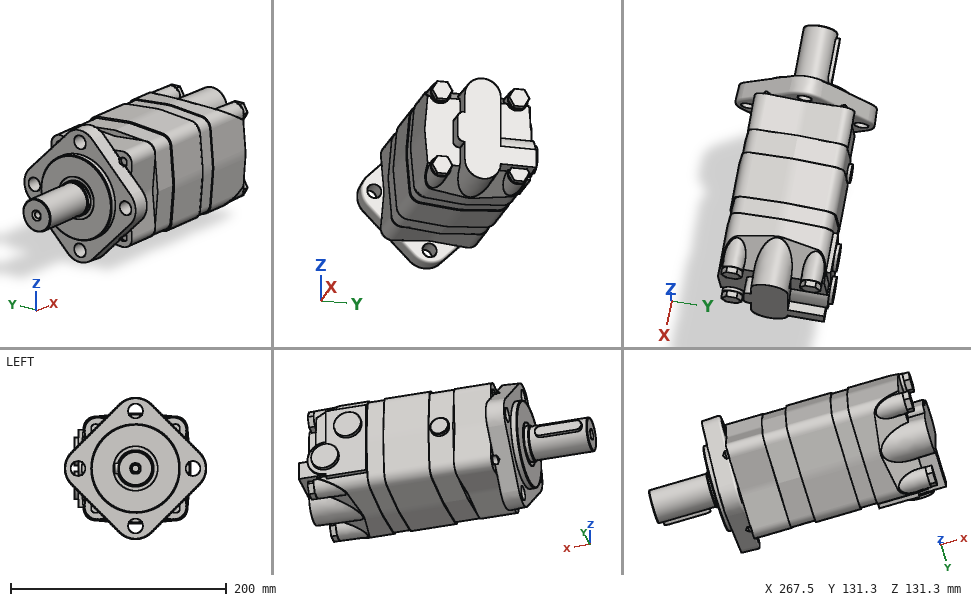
import cadquery as cq
import math


COLLAR_FRONT = 55.7
PILOT_FRONT = 60.1
FLANGE_FRONT = 66.1
FLANGE_WIDEST = 81.2
FLANGE_BACK = 83.8
LEGS_BACK = 119.4
HOUSING_BACK = 142.8
GEROTOR_BACK = 186.3
PLATE_BACK = 202.4
COVER_BACK = 251.3
BOLT_SEAT = 254.6
REAR_END = 267.5

CORNER_CENTRE = 36.5
SIDE_SLOPE = 5.0
LEGS_CORNER_RADIUS = 10.6
HOUSING_CORNER_RADIUS = 10.1
GEROTOR_CORNER_RADIUS = 11.8
PLATE_CORNER_RADIUS = 10.7
VALLEY_HALF_WIDTH = 2.8
RIDGE_HALF_WIDTH = 4.4

SHAFT_RADIUS = 16.0
SHAFT_CHAMFER = 0.8
COLLAR_RADIUS = 17.0
COLLAR_CHAMFER = 0.9
CENTRE_HOLE_DIAMETER = 6.65
CENTRE_HOLE_DEPTH = 20.0
COUNTERSINK_DIAMETER = 10.2
COUNTERSINK_ANGLE = 90.0
KEY_START = 4.6
KEY_LENGTH = 45.0
KEY_WIDTH = 10.0
KEY_HEIGHT = 8.0
KEY_TOP = 19.0

FLANGE_REACH = 65.65
FLANGE_TIP_RADIUS = 21.0
FLANGE_DRAFT = 2.6
FLANGE_BACK_FILLET = 2.2
PILOT_RADIUS = 41.25
PILOT_CHAMFER = 0.9
SEAL_RECESS_RADIUS = 20.6
SEAL_RECESS_DEPTH = 0.4
MOUNT_HOLE_DIAMETER = 13.5
MOUNT_HOLE_RADIUS = 53.2

BOLT_OFFSET = 37.0
BOLT_SHANK_DIAMETER = 10.0
THREAD_HOLE_DIAMETER = 8.38
THREAD_HOLE_BOTTOM = 80.7
DRILL_POINT_ANGLE = 118.0
BOLT_TIP = 86.0
HEAD_ACROSS_FLATS = 16.9
HEAD_BACK = 260.4

PLUG_DIAMETER = 18.0
PLUG_X = 131.7
PLUG_TOP = 53.0
PLUG_CHAMFER = 0.6

COVER_CUT_ANGLE = 30.0
COVER_CUT_END_Z = 33.0
BOLT_BOSS_RADIUS = 9.8
BOSS_DRAFT = 1.2
REAR_BOSS_RADIUS = 17.3
REAR_BOSS_Z = 32.4
REAR_BAR_HALF_HEIGHT = 14.8
REAR_BAR_MINUS_Y = -24.2
REAR_BAR_CORNER_RADIUS = 5.8
PAD_TOP = 53.0
PAD_HALF_HEIGHT = 36.0
PORT_BOSS_DIAMETER = 26.0
PORT_BOSS_TOP = 56.6
PORT_CENTRES = [(219.3, 15.7), (241.2, -15.7)]
PORT_WALL_RADIUS = 17.6
LUG_PLUS_Y = 51.4

BOLT_CENTRES = [(y, z) for y in (-BOLT_OFFSET, BOLT_OFFSET) for z in (-BOLT_OFFSET, BOLT_OFFSET)]


def across(x):
    """Workplane across the shaft axis: local x is Y, local y is Z, extrusion goes toward +X."""
    return cq.Workplane("YZ", origin=(x, 0, 0))


def along_y(x, z):
    """Workplane through the shaft axis, normal to Y, centred on the given X and Z."""
    return cq.Workplane("XZ", origin=(x, 0, z))


def rod(radius, start, end, centres=((0, 0),)):
    return across(start).pushPoints(centres).circle(radius).extrude(end - start)


def drafted_boss(radius, end, centres):
    """Round bosses inside the cover that narrow to the given radius at their rear end."""
    return across(end).pushPoints(centres).circle(radius).extrude(PLATE_BACK - end, taper=-BOSS_DRAFT)


def turned(points, side):
    """Turn local points by a number of quarter turns."""
    for _ in range(side):
        points = [(-v, u) for u, v in points]
    return points


def body_prism(start, end, corner_radius, slope, crest_half_width):
    """Rounded square whose sides rise (or fall, if the slope is negative) toward their middles."""
    angle = math.radians(slope)
    tangent_u = CORNER_CENTRE + corner_radius * math.sin(angle)
    tangent_v = CORNER_CENTRE + corner_radius * math.cos(angle)
    crest_edge_v = tangent_v + (tangent_u - crest_half_width) * math.tan(angle)
    crest_v = crest_edge_v + crest_half_width * math.tan(angle / 2)
    corner_mid = CORNER_CENTRE + corner_radius / math.sqrt(2)

    outline = across(start).moveTo(tangent_u, tangent_v)
    for side in range(4):
        crest_start, crest_top, crest_end, panel_end, corner, next_tangent = turned(
            [
                (crest_half_width, crest_edge_v),
                (0, crest_v),
                (-crest_half_width, crest_edge_v),
                (-tangent_u, tangent_v),
                (-corner_mid, corner_mid),
                (-tangent_v, tangent_u),
            ],
            side,
        )
        outline = outline.lineTo(*crest_start)
        if crest_half_width > 0:
            outline = outline.threePointArc(crest_top, crest_end)
        outline = outline.lineTo(*panel_end).threePointArc(corner, next_tangent)
    return outline.close().extrude(end - start)


def make_shaft():
    shaft = rod(SHAFT_RADIUS, 0, FLANGE_BACK).faces("<X").chamfer(SHAFT_CHAMFER)
    collar = rod(COLLAR_RADIUS, COLLAR_FRONT, PILOT_FRONT + SEAL_RECESS_DEPTH)
    shaft = shaft.union(collar.faces("<X").chamfer(COLLAR_CHAMFER))
    shaft = shaft.faces("<X").workplane().cskHole(
        CENTRE_HOLE_DIAMETER, COUNTERSINK_DIAMETER, COUNTERSINK_ANGLE, CENTRE_HOLE_DEPTH
    )
    return shaft.cut(make_key())


def make_key():
    """Round-ended parallel key on the +Y side of the shaft."""
    return (
        cq.Workplane("XZ", origin=(KEY_START + KEY_LENGTH / 2, KEY_TOP, 0))
        .slot2D(KEY_LENGTH, KEY_WIDTH)
        .extrude(KEY_HEIGHT)
    )


def diamond_outline():
    """Diamond with rounded tips on the Y and Z axes, at the flange's widest plane."""
    tip_centre = FLANGE_REACH - FLANGE_TIP_RADIUS
    tip_shift = FLANGE_TIP_RADIUS / math.sqrt(2)
    outline = across(FLANGE_WIDEST).moveTo(tip_centre + tip_shift, -tip_shift)
    for side in range(4):
        tip, tip_end, edge_end = turned(
            [
                (FLANGE_REACH, 0),
                (tip_centre + tip_shift, tip_shift),
                (tip_shift, tip_centre + tip_shift),
            ],
            side,
        )
        outline = outline.threePointArc(tip, tip_end).lineTo(*edge_end)
    return outline.close()


def make_flange():
    """Drafted diamond flange with a rounded rear edge, a pilot and four mounting holes."""
    front = diamond_outline().extrude(FLANGE_FRONT - FLANGE_WIDEST, taper=FLANGE_DRAFT)
    back = diamond_outline().extrude(FLANGE_BACK - FLANGE_WIDEST).faces(">X").edges().fillet(FLANGE_BACK_FILLET)
    pilot = rod(PILOT_RADIUS, PILOT_FRONT, FLANGE_FRONT).faces("<X").chamfer(PILOT_CHAMFER)
    mount_holes = (
        across(FLANGE_FRONT)
        .polarArray(MOUNT_HOLE_RADIUS, 0, 360, 4)
        .circle(MOUNT_HOLE_DIAMETER / 2)
        .extrude(FLANGE_BACK - FLANGE_FRONT)
    )
    return front.union(back).union(pilot).cut(mount_holes)


def make_thread_holes():
    """Blind tapped holes drilled from the rear, each ending in a drill point."""
    radius = THREAD_HOLE_DIAMETER / 2
    point_depth = radius / math.tan(math.radians(DRILL_POINT_ANGLE / 2))
    holes = rod(radius, THREAD_HOLE_BOTTOM, HOUSING_BACK, BOLT_CENTRES)
    for y, z in BOLT_CENTRES:
        point = cq.Solid.makeCone(
            radius, 0, point_depth, cq.Vector(THREAD_HOLE_BOTTOM, y, z), cq.Vector(-1, 0, 0)
        )
        holes = holes.union(cq.Workplane(point))
    return holes


def make_drain_plug():
    plug = along_y(PLUG_X, 0).workplane(offset=-PLUG_TOP).circle(PLUG_DIAMETER / 2)
    return plug.extrude(PLUG_TOP - CORNER_CENTRE).faces(">Y").chamfer(PLUG_CHAMFER)


def make_housing():
    """Flange, four corner legs between valley-shaped sides, and the rear block with its drain plug."""
    legs = body_prism(FLANGE_BACK, LEGS_BACK, LEGS_CORNER_RADIUS, -SIDE_SLOPE, VALLEY_HALF_WIDTH)
    block = body_prism(LEGS_BACK, HOUSING_BACK, HOUSING_CORNER_RADIUS, SIDE_SLOPE, 0)
    housing = make_flange().union(legs).union(block).union(make_drain_plug())
    housing = housing.cut(rod(SHAFT_RADIUS, PILOT_FRONT, FLANGE_BACK))
    housing = housing.cut(rod(SEAL_RECESS_RADIUS, PILOT_FRONT, PILOT_FRONT + SEAL_RECESS_DEPTH))
    return housing.cut(make_thread_holes())


def bolt_holes(start, end):
    return rod(BOLT_SHANK_DIAMETER / 2, start, end, BOLT_CENTRES)


def make_gerotor():
    ring = body_prism(HOUSING_BACK, GEROTOR_BACK, GEROTOR_CORNER_RADIUS, SIDE_SLOPE, RIDGE_HALF_WIDTH)
    return ring.cut(bolt_holes(HOUSING_BACK, GEROTOR_BACK))


def make_plate():
    plate = body_prism(GEROTOR_BACK, PLATE_BACK, PLATE_CORNER_RADIUS, SIDE_SLOPE, RIDGE_HALF_WIDTH)
    return plate.cut(bolt_holes(GEROTOR_BACK, PLATE_BACK))


def make_cover_cut():
    """Wedge that slopes the +Z side of the cover down toward its rear end."""
    run = COVER_BACK - PLATE_BACK
    rise = run * math.tan(math.radians(COVER_CUT_ANGLE))
    return (
        cq.Workplane("XZ")
        .moveTo(COVER_BACK, COVER_CUT_END_Z)
        .lineTo(PLATE_BACK, COVER_CUT_END_Z + rise)
        .lineTo(COVER_BACK, COVER_CUT_END_Z + rise)
        .close()
        .extrude(FLANGE_REACH, both=True)
    )


def make_rear_bosses():
    """Two round bosses above and below the axis, joined by a web with a bar on its -Y side."""
    bosses = drafted_boss(REAR_BOSS_RADIUS, REAR_END, [(0, -REAR_BOSS_Z), (0, REAR_BOSS_Z)])
    web = across(PLATE_BACK).rect(2 * REAR_BOSS_RADIUS, 2 * REAR_BOSS_Z).extrude(REAR_END - PLATE_BACK)
    bar = (
        across(COVER_BACK)
        .center(REAR_BAR_MINUS_Y / 2, 0)
        .rect(-REAR_BAR_MINUS_Y, 2 * REAR_BAR_HALF_HEIGHT)
        .extrude(REAR_END - COVER_BACK)
        .edges("|X and <Y")
        .fillet(REAR_BAR_CORNER_RADIUS)
    )
    return bosses.union(web).union(bar)


def make_port_pad():
    """Flat pad on the +Y side of the cover, ending at the rear port's centre."""
    pad_end = PORT_CENTRES[-1][0]
    return (
        along_y((PLATE_BACK + pad_end) / 2, 0)
        .rect(pad_end - PLATE_BACK, 2 * PAD_HALF_HEIGHT)
        .extrude(-PAD_TOP)
    )


def make_port_bosses():
    """Round port faces on the pad, the rear one with a thick wall bulging past the cover."""
    rear_x, rear_z = PORT_CENTRES[-1]
    ports = along_y(rear_x, rear_z).circle(PORT_WALL_RADIUS).extrude(-PAD_TOP)
    for x, z in PORT_CENTRES:
        ports = ports.union(along_y(x, z).circle(PORT_BOSS_DIAMETER / 2).extrude(-PORT_BOSS_TOP))
    return ports


def make_rear_lug():
    """Block behind the rear port, as high as the lower half of the port's wall."""
    port_x, port_z = PORT_CENTRES[-1]
    return (
        along_y((port_x + REAR_END) / 2, port_z - PORT_WALL_RADIUS / 2)
        .rect(REAR_END - port_x, PORT_WALL_RADIUS)
        .extrude(-LUG_PLUS_Y)
    )


def make_cover():
    cover = body_prism(PLATE_BACK, COVER_BACK, GEROTOR_CORNER_RADIUS, SIDE_SLOPE, RIDGE_HALF_WIDTH)
    cover = cover.union(make_port_pad())
    upper_cut = make_cover_cut()
    cover = cover.cut(upper_cut).cut(upper_cut.mirror("XY"))
    cover = cover.union(drafted_boss(BOLT_BOSS_RADIUS, BOLT_SEAT, BOLT_CENTRES))
    cover = cover.union(make_rear_bosses()).union(make_port_bosses()).union(make_rear_lug())
    heads = make_heads_space()
    return cover.cut(heads).cut(bolt_holes(PLATE_BACK, BOLT_SEAT))


def make_head(y, z):
    """Hexagon head with flats facing +Z and -Z."""
    across_corners = HEAD_ACROSS_FLATS / math.cos(math.pi / 6)
    return across(BOLT_SEAT).center(y, z).polygon(6, across_corners).extrude(HEAD_BACK - BOLT_SEAT)


def make_heads_space():
    space = cq.Workplane()
    for y, z in BOLT_CENTRES:
        space = space.add(make_head(y, z))
    return space.combine()


def make_bolt(y, z):
    """Bolt with a full shank up to the housing and a thinner threaded end inside it."""
    centre = [(y, z)]
    thread = rod(THREAD_HOLE_DIAMETER / 2, BOLT_TIP, HOUSING_BACK, centre)
    shank = rod(BOLT_SHANK_DIAMETER / 2, HOUSING_BACK, BOLT_SEAT, centre)
    return make_head(y, z).union(shank).union(thread)


shaft = make_shaft()
key = make_key()
housing = make_housing()
gerotor = make_gerotor()
plate = make_plate()
cover = make_cover()
bolts = [make_bolt(y, z) for y, z in BOLT_CENTRES]

result = cq.Compound.makeCompound(
    [
        shaft.val(),
        key.val(),
        housing.val(),
        gerotor.val(),
        plate.val(),
        cover.val(),
        *[bolt.val() for bolt in bolts],
    ]
)